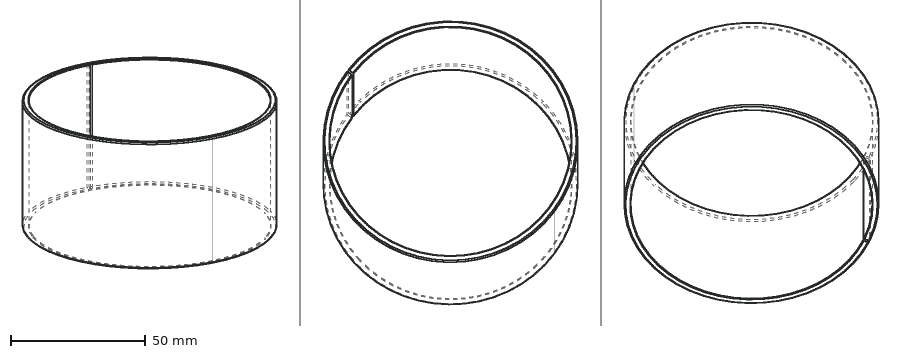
import cadquery as cq

outer_diameter = 95.0
wall = 2.5
length = 50.0
slit_width = 0.9
outer_chamfer = 0.6
inner_chamfer = 0.3

outer_radius = outer_diameter / 2
inner_radius = outer_radius - wall
half_length = length / 2

section = [
    (inner_radius, -half_length + inner_chamfer),
    (inner_radius + inner_chamfer, -half_length),
    (outer_radius - outer_chamfer, -half_length),
    (outer_radius, -half_length + outer_chamfer),
    (outer_radius, half_length - outer_chamfer),
    (outer_radius - outer_chamfer, half_length),
    (inner_radius + inner_chamfer, half_length),
    (inner_radius, half_length - inner_chamfer),
]
sleeve = cq.Workplane("XZ").polyline(section).close().revolve(360, (0, 0, 0), (0, 1, 0))

slit = (
    cq.Workplane("XY")
    .box(outer_radius, slit_width, length, centered=(True, False, True))
    .translate((-outer_radius, 0, 0))
)

result = sleeve.cut(slit)